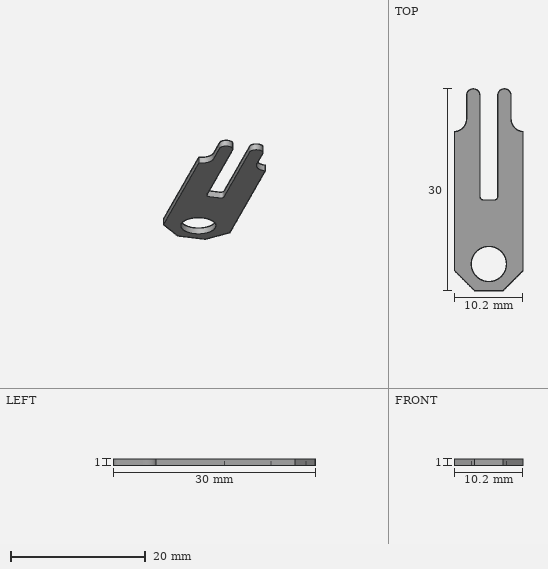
import cadquery as cq
import math

length = 30.0
width = 10.2
thickness = 1.0

slot_width = 2.6
slot_depth = 16.5
slot_corner_radius = 0.5
prong_width = 2.0
shoulder_drop = 6.35
shoulder_radius = 1.9

corner_chamfer = 3.0
hole_diameter = 5.2
hole_height = 4.0

half_width = width / 2
prong_outer_x = slot_width / 2 + prong_width
shoulder_y = length - shoulder_drop
tip_radius = prong_width / 2


def make_plate():
    """Full-width body with the two mounting-end corners cut off."""
    return (
        cq.Workplane("XY")
        .rect(width, shoulder_y)
        .extrude(thickness)
        .translate((0, shoulder_y / 2, 0))
        .edges("|Z and <Y")
        .chamfer(corner_chamfer)
    )


def make_prong(side):
    """Round-tipped prong with a concave flare; side is +1 or -1 along X."""
    inner_x = side * slot_width / 2
    outer_x = side * prong_outer_x
    edge_x = side * half_width
    tip_y = length - tip_radius
    centre_offset = prong_outer_x + shoulder_radius - half_width
    flare_y = shoulder_y + math.sqrt(shoulder_radius**2 - centre_offset**2)
    flare_centre_x = outer_x + side * shoulder_radius
    flare_mid = shoulder_radius * math.sqrt(0.5)
    return (
        cq.Workplane("XY")
        .moveTo(inner_x, shoulder_y)
        .lineTo(inner_x, tip_y)
        .threePointArc(((inner_x + outer_x) / 2, length), (outer_x, tip_y))
        .lineTo(outer_x, flare_y)
        .threePointArc((flare_centre_x - side * flare_mid, flare_y - flare_mid), (edge_x, shoulder_y))
        .close()
        .extrude(thickness)
    )


def make_slot():
    """Slot cutter with rounded corners at its closed end."""
    return (
        cq.Workplane("XY")
        .rect(slot_width, slot_depth)
        .extrude(thickness)
        .edges("|Z and <Y")
        .fillet(slot_corner_radius)
        .translate((0, length - slot_depth / 2, 0))
    )


def make_hole():
    return cq.Workplane("XY").center(0, hole_height).circle(hole_diameter / 2).extrude(thickness)


result = make_plate()
for side in (-1, 1):
    result = result.union(make_prong(side))
result = result.cut(make_slot()).cut(make_hole())